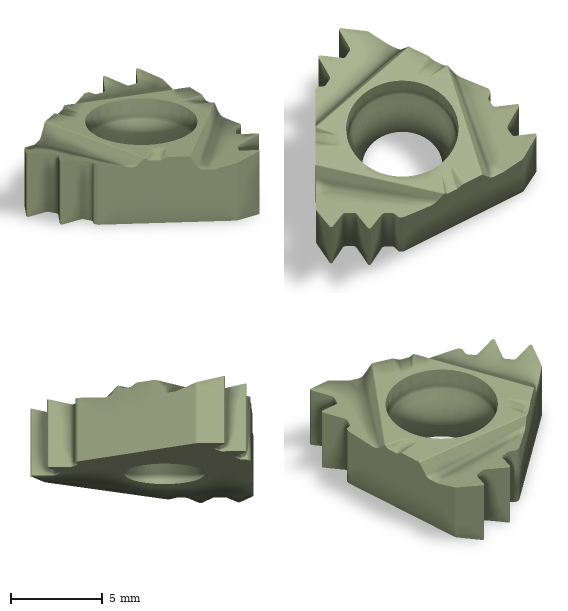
import cadquery as cq
import math

LENGTH = 12.88
HEIGHT = 3.95
SIDE_DISTANCE = 4.75
CORNER_ANGLES = (0, 120, 240)
FAR = 25.76
TOLERANCE = 0.001

FLANK_ANGLE = 30.0
TIP_RADIUS = 0.1
CORNER_RADIUS = 0.2
FIRST_TIP = (-3.93, -6.21)
SECOND_TIP_X = -1.83
FIRST_ROOT_Y = -5.11
SECOND_ROOT_Y = -5.15
SECOND_ROOT_END_X = -0.49
SHOULDER_Y = -5.47
SHOULDER_START_X = -0.23
FIRST_APEX = (FIRST_TIP[0], FIRST_TIP[1] - TIP_RADIUS)
OUTER_FLANK_DISTANCE = -(
    FIRST_APEX[0] * math.cos(math.radians(FLANK_ANGLE))
    + FIRST_APEX[1] * math.sin(math.radians(FLANK_ANGLE)))
SECOND_TIP_Y = OUTER_FLANK_DISTANCE - LENGTH
SECOND_APEX = (SECOND_TIP_X, SECOND_TIP_Y - TIP_RADIUS)

RAKE_ANGLE = 15.0
RAKE_DEPTH = 0.12
WALL_TURN = 15.0
WALL_DISTANCE = 3.45
WALL_LEAN = 34.0
GROOVE_RADIUS = 0.37
WALL_TOP_RADIUS = 0.09
FLOOR_END_DEPTH = 0.84
FLOOR_END_SLOPE = 4.2

NOTCH_DEPTH = 0.19
NOTCH_INNER = ((-3.55, -0.39), (-3.41, -1.07))
NOTCH_FLOOR_Y = (-0.09, -0.71)
NOTCH_TOP_Y = (0.12, -1.07)
NOTCH_RIM_RADIUS = 0.1
NOTCH_RIM_REACH = 3.86

HOLE_RADIUS = 4.4 / 2
HEAD_RADIUS = 3.08
HEAD_FLOOR_RADIUS = 2.99
HEAD_DEPTH = 1.02
SEAT_RADIUS = 2.9
SEAT_TOP_DEPTH = 1.24
SEAT_BOTTOM_DEPTH = 3.58


def rotated(point, degrees):
    """Turn a plan point about the hole axis."""
    angle = math.radians(degrees)
    x, y = point
    return (x * math.cos(angle) - y * math.sin(angle), x * math.sin(angle) + y * math.cos(angle))


def at_all_corners(shape):
    """Repeat a shape about the hole axis, once per corner."""
    return [shape.rotate((0, 0, 0), (0, 0, 1), angle) for angle in CORNER_ANGLES]


def half_space(origin, normal):
    """A large block on the side of a plane that the normal points to."""
    return cq.Workplane(cq.Plane(origin=origin, normal=normal)).rect(FAR, FAR).extrude(FAR)


def plane_through(a, b, c):
    """A half space bounded by three points, on the upper side of them."""
    normal = (cq.Vector(*b) - cq.Vector(*a)).cross(cq.Vector(*c) - cq.Vector(*a))
    if normal.z < 0:
        normal = normal * -1
    return half_space(a, normal.toTuple())


def stands_on(edge, points):
    """True for an upright edge that stands on one of the plan points."""
    centre = edge.Center()
    return any(math.hypot(centre.x - x, centre.y - y) < TOLERANCE for x, y in points)


def make_body():
    """The toothed outline, extruded and with its upright edges rounded."""
    flank = math.tan(math.radians(FLANK_ANGLE))
    first_run_out = (FIRST_ROOT_Y - FIRST_APEX[1]) * flank
    second_run_out = (SECOND_ROOT_Y - SECOND_APEX[1]) * flank
    second_run_in = (FIRST_ROOT_Y - SECOND_APEX[1]) * flank
    side_corner = (-SIDE_DISTANCE, FIRST_APEX[1] + (FIRST_APEX[0] + SIDE_DISTANCE) / flank)
    normal_x, normal_y = rotated((-1, 0), CORNER_ANGLES[1])
    shoulder_end_x = (SIDE_DISTANCE - SHOULDER_Y * normal_y) / normal_x
    corner = [
        side_corner,
        FIRST_APEX,
        (FIRST_APEX[0] + first_run_out, FIRST_ROOT_Y),
        (SECOND_APEX[0] - second_run_in, FIRST_ROOT_Y),
        SECOND_APEX,
        (SECOND_APEX[0] + second_run_out, SECOND_ROOT_Y),
        (SECOND_ROOT_END_X, SECOND_ROOT_Y),
        (SHOULDER_START_X, SHOULDER_Y),
        (shoulder_end_x, SHOULDER_Y),
    ]
    outline = [rotated(point, angle) for angle in CORNER_ANGLES for point in corner]
    rounded_tips = [rotated(tip, angle) for angle in CORNER_ANGLES for tip in (FIRST_APEX, SECOND_APEX)]
    blunt_corners = [point for point in outline if point not in rounded_tips]
    body = cq.Workplane("XY").polyline(outline).close().extrude(HEIGHT)
    body = body.edges("|Z").filter(lambda edge: stands_on(edge, rounded_tips)).fillet(TIP_RADIUS)
    return body.edges("|Z").filter(lambda edge: stands_on(edge, blunt_corners)).fillet(CORNER_RADIUS)


def make_groove():
    """Everything above the rake face and outside the groove wall of one corner."""
    rake = math.radians(RAKE_ANGLE)
    turn = math.radians(WALL_TURN)
    lean = math.radians(WALL_LEAN)
    slope = math.radians(FLOOR_END_SLOPE)
    outward = (-math.sin(turn), -math.cos(turn))
    above_rake = half_space(
        (0, SECOND_TIP_Y, HEIGHT - RAKE_DEPTH), (0, math.sin(rake), math.cos(rake)))
    outside_wall = half_space(
        (outward[0] * WALL_DISTANCE, outward[1] * WALL_DISTANCE, HEIGHT),
        (outward[0] * math.cos(lean), outward[1] * math.cos(lean), math.sin(lean)))
    above_floor_end = half_space(
        (-SIDE_DISTANCE, 0, HEIGHT - FLOOR_END_DEPTH), (math.sin(slope), 0, math.cos(slope)))
    groove = above_rake.intersect(outside_wall).intersect(above_floor_end)
    meeting = groove.vertices("<Z").val()
    feet = groove.edges().filter(lambda edge: edge.distance(meeting) < TOLERANCE)
    return feet.fillet(GROOVE_RADIUS)


def make_notch():
    """A ramp that rises from the side face to its inner end, with tapering flanks."""
    inner_a, inner_b = [(x, y, HEIGHT) for x, y in NOTCH_INNER]
    floor_a, floor_b = [(-SIDE_DISTANCE, y, HEIGHT - NOTCH_DEPTH) for y in NOTCH_FLOOR_Y]
    top_a, top_b = [(-SIDE_DISTANCE, y, HEIGHT) for y in NOTCH_TOP_Y]
    floor_middle = (-SIDE_DISTANCE, sum(NOTCH_FLOOR_Y) / 2, HEIGHT - NOTCH_DEPTH)
    above_floor = plane_through(inner_a, inner_b, floor_middle)
    flank_a = plane_through(inner_a, floor_a, top_a)
    flank_b = plane_through(inner_b, floor_b, top_b)
    return above_floor.intersect(flank_a).intersect(flank_b)


def make_hole():
    """Tapered head recess, a blending arc, then a rounded seat that blends into the plain hole."""
    seat_height = SEAT_BOTTOM_DEPTH - SEAT_TOP_DEPTH
    narrowing = SEAT_RADIUS - HOLE_RADIUS
    round_radius = (seat_height ** 2 + narrowing ** 2) / (2 * narrowing)
    half_angle = math.asin(seat_height / round_radius) / 2
    middle = (
        HOLE_RADIUS + round_radius * (1 - math.cos(half_angle)),
        HEIGHT - SEAT_BOTTOM_DEPTH + round_radius * math.sin(half_angle),
    )
    return (
        cq.Workplane("XZ")
        .moveTo(0, HEIGHT)
        .lineTo(HEAD_RADIUS, HEIGHT)
        .lineTo(HEAD_FLOOR_RADIUS, HEIGHT - HEAD_DEPTH)
        .tangentArcPoint((SEAT_RADIUS, HEIGHT - SEAT_TOP_DEPTH), relative=False)
        .threePointArc(middle, (HOLE_RADIUS, HEIGHT - SEAT_BOTTOM_DEPTH))
        .lineTo(HOLE_RADIUS, 0)
        .lineTo(0, 0)
        .close()
        .revolve(360, (0, 0), (0, 1))
    )


def is_wall_top(edge):
    """True for the edge between the top face and a groove wall."""
    centre = edge.Center()
    off_axis = edge.tangentAt(0).cross(cq.Vector(centre.x, centre.y)).Length
    on_top = centre.z > HEIGHT - TOLERANCE
    return edge.geomType() == "LINE" and on_top and abs(off_axis - WALL_DISTANCE) < TOLERANCE


def is_notch_rim(edge):
    """True for the edges between the top face and the notches."""
    on_top = edge.BoundingBox().zmin > HEIGHT - TOLERANCE
    reaches_inward = any(math.hypot(end.X, end.Y) < NOTCH_RIM_REACH for end in edge.Vertices())
    return edge.geomType() == "LINE" and on_top and reaches_inward


part = make_body()
for groove in at_all_corners(make_groove()):
    part = part.cut(groove)
part = part.edges().filter(is_wall_top).fillet(WALL_TOP_RADIUS)
for notch in at_all_corners(make_notch()):
    part = part.cut(notch)
part = part.edges().filter(is_notch_rim).fillet(NOTCH_RIM_RADIUS)
result = part.cut(make_hole())